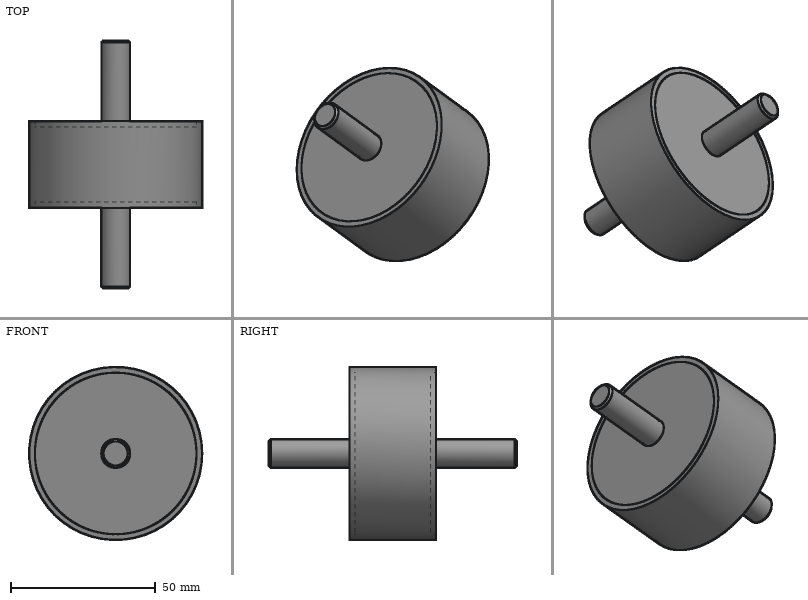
import cadquery as cq

buffer_diameter = 60.0
buffer_length = 30.0
plate_diameter = 56.0
plate_thickness = 2.0
stud_diameter = 10.0
stud_length = 28.0
stud_chamfer = 0.8

buffer_end = buffer_length / 2


def cylinder_along_y(diameter, start, length):
    """Solid cylinder on the Y axis, from Y = start towards +Y."""
    plane = cq.Plane(origin=(0, start, 0), xDir=(1, 0, 0), normal=(0, 1, 0))
    return cq.Workplane(plane).circle(diameter / 2).extrude(length)


def make_stud_plate():
    """Plate seated flush in the +Y buffer face, with its chamfered stud."""
    plate = cylinder_along_y(plate_diameter, buffer_end - plate_thickness, plate_thickness)
    stud = cylinder_along_y(stud_diameter, buffer_end, stud_length)
    stud = stud.faces(">Y").chamfer(stud_chamfer)
    return plate.union(stud)


def make_rubber_buffer():
    """Rubber cylinder with a round recess for a plate in each end face."""
    buffer = cylinder_along_y(buffer_diameter, -buffer_end, buffer_length)
    for recess_start in (-buffer_end, buffer_end - plate_thickness):
        buffer = buffer.cut(cylinder_along_y(plate_diameter, recess_start, plate_thickness))
    return buffer


rubber_buffer = make_rubber_buffer()

stud_plates = []
for turn in (0, 180):
    stud_plates.append(make_stud_plate().rotate((0, 0, 0), (0, 0, 1), turn))

result = cq.Compound.makeCompound([rubber_buffer.val(), *[plate.val() for plate in stud_plates]])